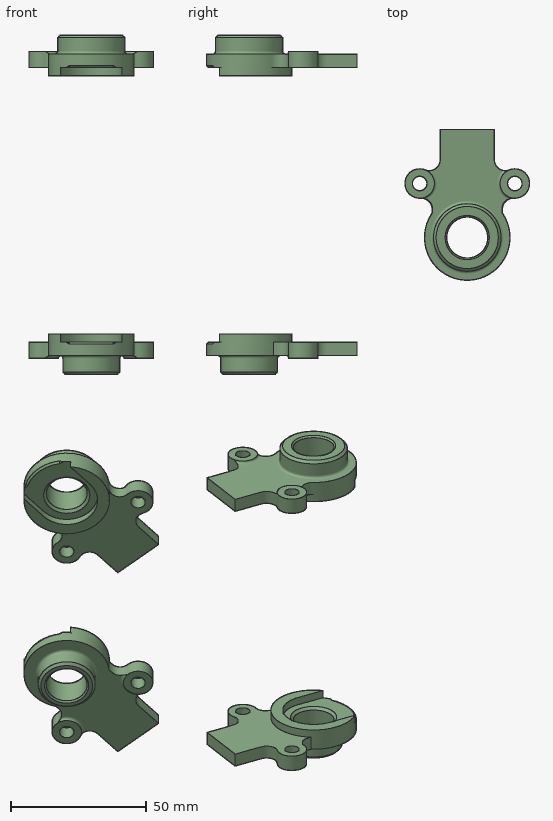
import cadquery as cq
import math

total_height = 125.6

plate_thickness = 5.0
tail_half_width = 10.0
tail_end_y = 39.9
hub_radius = 15.8
outline_fillet = 4.0

neck_half_width = 13.0

ear_x = 17.6
ear_y = 20.0
ear_diameter = 10.9
ear_radius = ear_diameter / 2
ear_hole_radius = 2.6

base_fillet = 1.0
ear_thickness = plate_thickness + base_fillet

lip_height = 3.0
pocket_radius = 11.4

relief_size = 0.8
relief_start_y = -12.8

boss_height = 7.0
upper_boss_diameter = 25.0
upper_boss_radius = upper_boss_diameter / 2
lower_boss_radius = 10.5
boss_chamfer = 1.0

bore_radius = 7.5
boss_bore_chamfer = 0.6
seat_bore_chamfer = 1.0

overrun = 1.3


def toward(start, end, distance):
    """Point at a distance from start on the way to end."""
    length = math.dist(start, end)
    return tuple(s + (e - s) * distance / length for s, e in zip(start, end))


def mirrored(point):
    return (-point[0], point[1])


def arc_middle(center, start, end):
    """Middle of the shorter arc about center from start to end."""
    chord_middle = tuple((a + b) / 2 for a, b in zip(start, end))
    return toward(center, chord_middle, outline_fillet)


def blend_beside_ear(wall_x):
    """X and Y offsets from the ear to a blend that is tangent to it and to a wall at wall_x."""
    across = wall_x + outline_fillet - ear_x
    return across, math.sqrt((ear_radius + outline_fillet) ** 2 - across**2)


def plate_profile(has_neck):
    """Tail, two ears and round hub, blended with concave arcs."""
    hub = (0, 0)
    ear = (ear_x, ear_y)
    ear_side = (ear_x + ear_radius, ear_y)

    across, rise = blend_beside_ear(tail_half_width)
    tail_blend = (ear_x + across, ear_y + rise)
    tail_tangent = (tail_half_width, tail_blend[1])
    ear_top = toward(ear, tail_blend, ear_radius)
    tail_mid = arc_middle(tail_blend, tail_tangent, ear_top)

    if has_neck:
        across, drop = blend_beside_ear(neck_half_width)
        hub_blend = (ear_x + across, ear_y - drop)
        blend_end = (neck_half_width, hub_blend[1])
        hub_start = (neck_half_width, math.sqrt(hub_radius**2 - neck_half_width**2))
    else:
        span = math.dist(hub, ear)
        from_hub = hub_radius + outline_fillet
        from_ear = ear_radius + outline_fillet
        along = (from_hub**2 - from_ear**2 + span**2) / (2 * span)
        aside = math.sqrt(from_hub**2 - along**2)
        hub_blend = (
            (ear_x * along + ear_y * aside) / span,
            (ear_y * along - ear_x * aside) / span,
        )
        blend_end = toward(hub, hub_blend, hub_radius)
        hub_start = blend_end
    ear_bottom = toward(ear, hub_blend, ear_radius)
    hub_mid = arc_middle(hub_blend, ear_bottom, blend_end)

    outline = (
        cq.Workplane("XY")
        .moveTo(-tail_half_width, tail_end_y)
        .lineTo(tail_half_width, tail_end_y)
        .lineTo(*tail_tangent)
        .threePointArc(tail_mid, ear_top)
        .threePointArc(ear_side, ear_bottom)
        .threePointArc(hub_mid, blend_end)
    )
    if has_neck:
        outline = outline.lineTo(*hub_start)
    outline = outline.threePointArc((0, -hub_radius), mirrored(hub_start))
    if has_neck:
        outline = outline.lineTo(*mirrored(blend_end))
    return (
        outline.threePointArc(mirrored(hub_mid), mirrored(ear_bottom))
        .threePointArc(mirrored(ear_side), mirrored(ear_top))
        .threePointArc(mirrored(tail_mid), mirrored(tail_tangent))
        .close()
    )


def base_flare(radius):
    """Short disc on the plate's back face, as tall as the fillet that blends it into the plate."""
    arc_offset = base_fillet * (1 - math.sqrt(0.5))
    return (
        cq.Workplane("XZ")
        .lineTo(radius + base_fillet, 0)
        .threePointArc((radius + arc_offset, -arc_offset), (radius, -base_fillet))
        .lineTo(0, -base_fillet)
        .close()
        .revolve(360, (0, 0, 0), (0, 1, 0))
        .translate((0, 0, -plate_thickness))
    )


def ears(has_neck):
    """Raised ear pads, with fillets only where the plate carries them."""
    pads = cq.Workplane("XY")
    for x in (-ear_x, ear_x):
        pads = pads.union(base_flare(ear_radius).translate((x, ear_y, 0)))
    limits = plate_profile(has_neck).extrude(-ear_thickness)
    return pads.intersect(limits)


def boss(radius):
    post = (
        cq.Workplane("XY", origin=(0, 0, -plate_thickness))
        .circle(radius)
        .extrude(-boss_height)
        .faces("<Z")
        .chamfer(boss_chamfer)
    )
    return post.union(base_flare(radius))


def lip():
    disc = cq.Workplane("XY").circle(hub_radius).extrude(lip_height)
    pocket = (
        cq.Workplane("XY")
        .circle(pocket_radius)
        .extrude(lip_height)
        .union(
            cq.Workplane("XY")
            .rect(2 * pocket_radius, hub_radius + overrun)
            .extrude(lip_height)
            .translate((0, -(hub_radius + overrun) / 2, 0))
        )
    )
    return disc.cut(pocket)


def relief():
    """Conical chamfer on the hub's seat edge, ended by a sloping plane on each side."""
    ring = (
        cq.Workplane("XZ")
        .moveTo(hub_radius - relief_size, 0)
        .lineTo(hub_radius + overrun, 0)
        .lineTo(hub_radius + overrun, -relief_size - overrun)
        .close()
        .revolve(360, (0, 0, 0), (0, 1, 0))
    )
    depth = -relief_start_y
    wedge = (
        cq.Workplane("YZ")
        .moveTo(-depth, 0)
        .lineTo(-2 * hub_radius, 0)
        .lineTo(-2 * hub_radius, depth - 2 * hub_radius)
        .close()
        .extrude(hub_radius, both=True)
    )
    return ring.intersect(wedge)


def bearing_plate(boss_radius, has_neck):
    back = -plate_thickness - boss_height
    body = plate_profile(has_neck).extrude(-plate_thickness)
    body = body.union(ears(has_neck)).union(boss(boss_radius)).union(lip()).cut(relief())

    bore = (
        cq.Workplane("XZ")
        .lineTo(bore_radius + seat_bore_chamfer, 0)
        .lineTo(bore_radius, -seat_bore_chamfer)
        .lineTo(bore_radius, back + boss_bore_chamfer)
        .lineTo(bore_radius + boss_bore_chamfer, back)
        .lineTo(0, back)
        .close()
        .revolve(360, (0, 0, 0), (0, 1, 0))
    )
    ear_holes = (
        cq.Workplane("XY")
        .pushPoints([(-ear_x, ear_y), (ear_x, ear_y)])
        .circle(ear_hole_radius)
        .extrude(-ear_thickness)
    )
    return body.cut(bore).cut(ear_holes)


lower_seat_z = plate_thickness + boss_height
lower_plate = bearing_plate(lower_boss_radius, has_neck=True)
lower_plate = lower_plate.translate((0, 0, lower_seat_z))

upper_seat_z = total_height - plate_thickness - boss_height
upper_plate = bearing_plate(upper_boss_radius, has_neck=False)
upper_plate = upper_plate.mirror("XY").translate((0, 0, upper_seat_z))

result = cq.Compound.makeCompound([lower_plate.val(), upper_plate.val()])